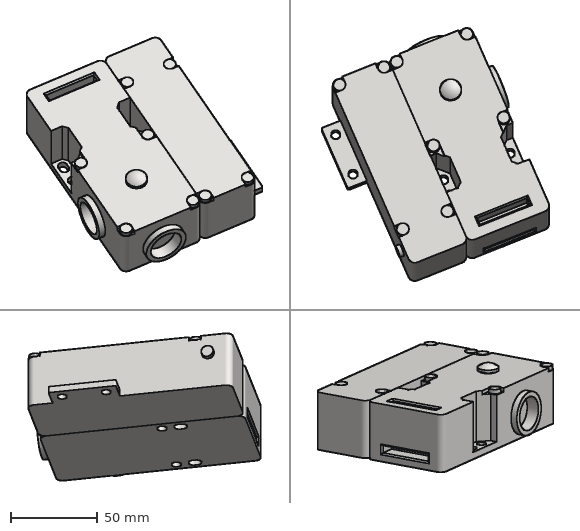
import cadquery as cq
import math

body_length = 121.0
body_height = 34.9
housing_width = 52.0
side_box_width = 36.0
corner_radius = 4.0

cap_diameter = 7.1
cap_inset = 4.0
cap_recess_depth = 2.2
housing_cap_rise = 0.4
side_box_cap_rise = 0.1
housing_cap_x = 61.9
side_box_cap_x = 21.9

notch_start_x = 32.8
notch_length = 24.8
notch_depth = 10
notch_floor = 4.4
notch_small_chamfer = 2.8
notch_large_chamfer = 6.0
mount_hole_diameter = 5.5
mount_hole_inset = 5.1
mount_slot_x = 38.5
mount_slot_length = 7.5
mount_round_x = 49.5

key_slot_length = 33.2
key_slot_width = 6.4
key_slot_bevel = 1.0
key_slot_depth = 10
top_slot_x = 9.6
end_slot_z = 7.4

entry_diameter = 26.0
entry_bore = 20
entry_length = 4.0
entry_bore_depth = 7.8
entry_x = 86.0
entry_z = 14.9

button_x = 88.8
button_neck_radius = 5
button_rim_radius = 6.2
button_rim_bottom = 35.6
button_rim_top = 37.4
button_top = 39.8

flange_width = 39.8
flange_reach = 12.0
flange_thickness = 4.0
flange_corner_radius = 1.0
flange_hole_diameter = 5.4
flange_hole_spacing = 26.0
flange_hole_offset = 5.9
pin_diameter = 7.1
pin_length = 2.6
pin_x = 14.0
pin_z = 22.6

housing_mid_y = housing_width / 2
side_box_back_y = housing_width + side_box_width
cap_radius = cap_diameter / 2
end_cap_x = body_length - cap_inset
recess_floor_z = body_height - cap_recess_depth


def box_between(x_start, x_end, y_start, y_end, z_start, z_end):
    """Axis-aligned box between two opposite corners, given in any order."""
    size = (abs(x_end - x_start), abs(y_end - y_start), abs(z_end - z_start))
    low_corner = (min(x_start, x_end), min(y_start, y_end), min(z_start, z_end))
    return cq.Workplane("XY").box(*size, centered=False).translate(low_corner)


def rounded_block(y_start, y_end):
    """Full-length block with rounded upright edges."""
    return box_between(0, body_length, y_start, y_end, 0, body_height).edges("|Z").fillet(corner_radius)


def upright_cylinder(x, y, radius, z_start, z_end):
    return cq.Workplane("XY", origin=(x, y, z_start)).circle(radius).extrude(z_end - z_start)


def add_cap(body, x, y, edge_y, edge_x=None, rise=0):
    """Recess a cap seat out to edge_y, and to edge_x if given, then stand a cap in it."""
    seat = upright_cylinder(x, y, cap_radius, recess_floor_z, body_height)
    seat = seat.union(box_between(x - cap_radius, x + cap_radius, y, edge_y, recess_floor_z, body_height))
    if edge_x is not None:
        inner_y = y - math.copysign(cap_radius, edge_y - y)
        seat = seat.union(box_between(x, edge_x, inner_y, edge_y, recess_floor_z, body_height))
    cap = upright_cylinder(x, y, cap_radius, recess_floor_z, body_height + rise)
    return body.cut(seat).union(cap)


def mounting_notch():
    """Notch on the front side, with its round hole and slotted hole through the floor."""
    notch_end_x = notch_start_x + notch_length
    notch = (
        cq.Workplane("XY", origin=(0, 0, notch_floor))
        .moveTo(notch_start_x, 0)
        .lineTo(notch_start_x, notch_depth - notch_small_chamfer)
        .lineTo(notch_start_x + notch_small_chamfer, notch_depth)
        .lineTo(notch_end_x - notch_large_chamfer, notch_depth)
        .lineTo(notch_end_x, notch_depth - notch_large_chamfer)
        .lineTo(notch_end_x, 0)
        .close()
        .extrude(body_height - notch_floor)
    )
    round_hole = upright_cylinder(mount_round_x, mount_hole_inset, mount_hole_diameter / 2, 0, notch_floor)
    slotted_hole = (
        cq.Workplane("XY", origin=(mount_slot_x, mount_hole_inset, 0))
        .slot2D(mount_slot_length, mount_hole_diameter)
        .extrude(notch_floor)
    )
    return notch.union(round_hole).union(slotted_hole)


def key_slot(plane):
    """Slot with a bevelled mouth, cut against the normal of the plane; its length lies along Y."""
    inner_width = key_slot_width - 2 * key_slot_bevel
    inner_length = key_slot_length - 2 * key_slot_bevel
    mouth = (
        cq.Workplane(plane)
        .rect(key_slot_width, key_slot_length)
        .workplane(offset=-key_slot_bevel)
        .rect(inner_width, inner_length)
        .loft(ruled=True)
    )
    shaft = cq.Workplane(plane).rect(inner_width, inner_length).extrude(-key_slot_depth)
    return mouth.union(shaft)


def add_cable_entry(body, plane):
    """Round collar on the plane, bored through into the body."""
    collar = cq.Workplane(plane).circle(entry_diameter / 2).extrude(entry_length)
    bore = (
        cq.Workplane(plane)
        .workplane(offset=entry_length)
        .circle(entry_bore / 2)
        .extrude(-entry_bore_depth)
    )
    return body.union(collar).cut(bore)


def domed_button():
    """Revolved button: neck, wider rim and a spherical dome."""
    dome_height = button_top - button_rim_top
    dome_radius = (button_rim_radius**2 + dome_height**2) / (2 * dome_height)
    dome_mid_r = button_rim_radius / 2
    dome_mid_z = button_top - dome_radius + math.sqrt(dome_radius**2 - dome_mid_r**2)
    return (
        cq.Workplane("XZ", origin=(button_x, housing_mid_y, 0))
        .moveTo(0, body_height)
        .lineTo(button_neck_radius, body_height)
        .lineTo(button_neck_radius, button_rim_bottom)
        .lineTo(button_rim_radius, button_rim_bottom)
        .lineTo(button_rim_radius, button_rim_top)
        .threePointArc((dome_mid_r, dome_mid_z), (0, button_top))
        .close()
        .revolve(360, (0, 0, 0), (0, 1, 0))
    )


def make_housing():
    housing = rounded_block(0, housing_width)

    front_notch = mounting_notch()
    housing = housing.cut(front_notch)
    housing = housing.cut(front_notch.mirror("XZ", (0, housing_mid_y, 0)))

    for edge_y, cap_y in ((0, cap_inset), (housing_width, housing_width - cap_inset)):
        notch_side_x = notch_start_x + notch_length - notch_large_chamfer
        housing = add_cap(housing, housing_cap_x, cap_y, edge_y, notch_side_x, housing_cap_rise)
        housing = add_cap(housing, end_cap_x, cap_y, edge_y, body_length, housing_cap_rise)

    top_plane = cq.Plane((top_slot_x, housing_mid_y, body_height), xDir=(1, 0, 0), normal=(0, 0, 1))
    left_plane = cq.Plane((0, housing_mid_y, end_slot_z), xDir=(0, 0, 1), normal=(-1, 0, 0))
    for plane in (top_plane, left_plane):
        housing = housing.cut(key_slot(plane))

    front_plane = cq.Plane((entry_x, 0, entry_z), xDir=(1, 0, 0), normal=(0, -1, 0))
    right_plane = cq.Plane((body_length, housing_mid_y, entry_z), xDir=(0, 1, 0), normal=(1, 0, 0))
    for plane in (front_plane, right_plane):
        housing = add_cable_entry(housing, plane)

    return housing.union(domed_button())


def mounting_flange():
    """Plate at the foot of the back face, with two holes."""
    half_width = flange_width / 2
    flange_end_y = side_box_back_y + flange_reach
    plate = box_between(
        entry_x - half_width, entry_x + half_width, side_box_back_y, flange_end_y, 0, flange_thickness
    )
    plate = plate.edges("|Z and >Y").fillet(flange_corner_radius)
    for side in (-1, 1):
        hole_x = entry_x + side * flange_hole_spacing / 2
        hole_y = side_box_back_y + flange_hole_offset
        plate = plate.cut(upright_cylinder(hole_x, hole_y, flange_hole_diameter / 2, 0, flange_thickness))
    return plate


def make_side_box():
    side_box = rounded_block(housing_width, side_box_back_y)

    for edge_y, cap_y in (
        (housing_width, housing_width + cap_inset),
        (side_box_back_y, side_box_back_y - cap_inset),
    ):
        side_box = add_cap(side_box, side_box_cap_x, cap_y, edge_y, rise=side_box_cap_rise)
        side_box = add_cap(side_box, end_cap_x, cap_y, edge_y, body_length, side_box_cap_rise)

    pin_plane = cq.Plane((pin_x, side_box_back_y, pin_z), xDir=(1, 0, 0), normal=(0, 1, 0))
    pin = cq.Workplane(pin_plane).circle(pin_diameter / 2).extrude(pin_length)
    return side_box.union(mounting_flange()).union(pin)


housing = make_housing()
side_box = make_side_box()
result = cq.Compound.makeCompound([housing.val(), side_box.val()])